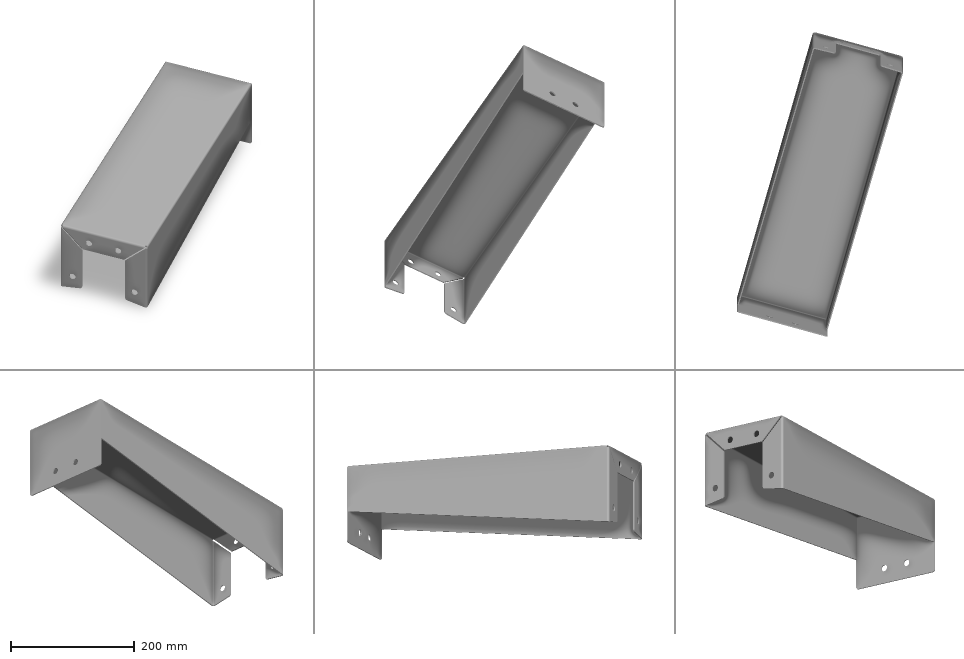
import cadquery as cq

width = 152.2
length = 457.0
height = 127.0
sheet = 2.0
fold_radius = 3.8

side_rise = 51.0
flange_depth = 38.5
flange_end_rise = 6.0
flange_corner_radius = 4.5
miter_gap = 2.0
back_corner_radius = 4.5

hole_diameter = 11.0
top_hole_x = 25.5
top_hole_z = height - 23.0
side_hole_x = 54.5
back_hole_x = 21.5
lower_hole_z = 26.0

half_width = width / 2
front = -length / 2
back = length / 2
front_fold = front + fold_radius
back_inside = back - sheet


def rounded_block(inset):
    """Block inset from the outside faces, with its front and top edges rounded like the folds."""
    block = (
        cq.Workplane("XY")
        .box(width - 2 * inset, length - 2 * inset, height - inset, centered=(True, True, False))
    )
    front_top_edges = block.edges("(|Z and <Y) or >Z")
    return front_top_edges.fillet(fold_radius - inset)


def make_walls():
    return rounded_block(0).cut(rounded_block(sheet))


def below_sides():
    """Wedge that gives the sides their sloping lower edge."""
    return (
        cq.Workplane("YZ")
        .polyline([(front_fold, 0), (back_inside, side_rise), (back_inside, 0)])
        .close()
        .extrude(half_width, both=True)
    )


def front_opening():
    """Opening between the front flanges, widening below their sloping lower ends."""
    edge_x = half_width - flange_depth
    fold_x = half_width - fold_radius
    opening = (
        cq.Workplane("XZ", origin=(0, front_fold, 0))
        .polyline([
            (-fold_x, 0),
            (-edge_x, flange_end_rise),
            (-edge_x, height - flange_depth),
            (edge_x, height - flange_depth),
            (edge_x, flange_end_rise),
            (fold_x, 0),
        ])
        .close()
        .extrude(fold_radius)
    )
    lower_corners = cq.selectors.BoxSelector(
        (-half_width, front - sheet, flange_end_rise / 2),
        (half_width, back, 2 * flange_end_rise),
    )
    return opening.edges("|Y").edges(lower_corners).fillet(flange_corner_radius)


def corner_reliefs():
    """Diagonal slit between the flanges and open corner where three folds meet, on both sides."""
    slit = (
        cq.Workplane("XZ", origin=(0, front_fold, 0))
        .polyline([
            (half_width - miter_gap, height),
            (half_width, height),
            (half_width, height - miter_gap),
            (half_width - flange_depth, height - flange_depth - miter_gap),
            (half_width - flange_depth - miter_gap, height - flange_depth),
        ])
        .close()
        .extrude(fold_radius)
    )
    corner = (
        cq.Workplane("XY")
        .box(fold_radius, fold_radius, fold_radius, centered=False)
        .translate((half_width - fold_radius, front, height - fold_radius))
    )
    relief = slit.union(corner)
    return relief.union(relief.mirror("YZ"))


def mirrored_holes(x, z, wall_y):
    """Pair of holes through the wall that occupies wall_y to wall_y + sheet."""
    return (
        cq.Workplane("XZ", origin=(0, wall_y + sheet, 0))
        .pushPoints([(-x, z), (x, z)])
        .circle(hole_diameter / 2)
        .extrude(sheet)
    )


def round_back_wall(body):
    """Round the two free lower corners of the back wall."""
    lower_corners = cq.selectors.BoxSelector(
        (-width, back_inside - sheet, -sheet),
        (width, back + sheet, sheet),
    )
    return body.edges("|Y").edges(lower_corners).fillet(back_corner_radius)


result = make_walls().cut(below_sides())
result = result.cut(front_opening())
result = result.cut(corner_reliefs())
result = result.cut(mirrored_holes(top_hole_x, top_hole_z, front))
result = result.cut(mirrored_holes(side_hole_x, lower_hole_z, front))
result = result.cut(mirrored_holes(back_hole_x, lower_hole_z, back_inside))
result = round_back_wall(result)